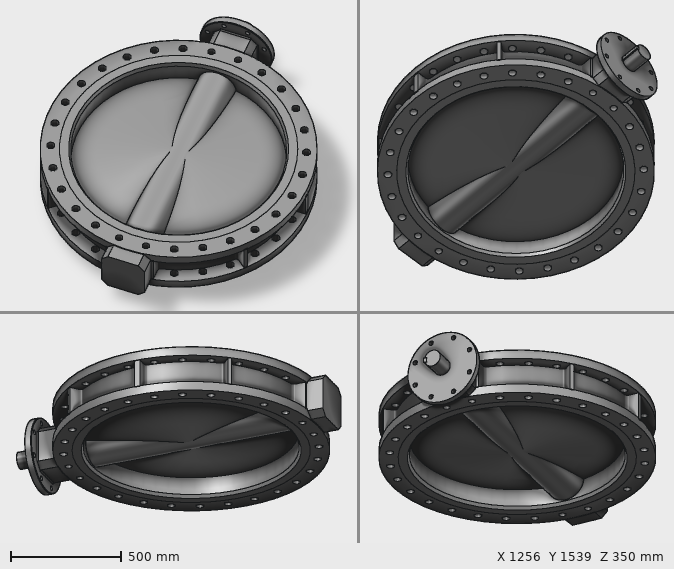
import cadquery as cq
import math


face_to_face = 218.0
flange_radius = 628.0
flange_thickness = 43.0
barrel_radius = 561.0
flange_inner_z = face_to_face / 2 - flange_thickness

bolt_count = 28
bolt_circle_radius = 580.0
bolt_hole_diameter = 35.0
tapped_hole_diameter = 32.0
tapped_hole_depth = 54.0
drill_point_angle = 118

rib_tip_radius = 623.0
side_rib_thickness = 28.0
diagonal_rib_thickness = 18.0
diagonal_rib_angle = 39.5
boss_web_width = 230.0
rib_fillet = 15.0

boss_width = 209.0
boss_corner = 30.0
boss_bottom_y = -694.0
neck_weld_size = 6.0
actuator_flange_radius = 175.0
actuator_flange_top_y = 746.0
actuator_flange_thickness = 32.0
actuator_flange_chamfer = 3.0
actuator_bolt_count = 8
actuator_bolt_circle_radius = 149.0
actuator_bolt_hole_diameter = 22.0

liner_outer_radius = 540.0
liner_mouth_radius = 498.0
liner_bore_radius = 489.0
liner_bevel_depth = 15.0

disc_edge_half_thickness = 9.0
disc_apex_z = 90.0
hub_radius = 92.0
hub_half_length = 483.0

shaft_radius = 40.0
shaft_top_y = 845.0
shaft_bottom_y = -630.0
key_width = 22.0
key_height = 14.0
key_depth = 9.0
key_seat_x = shaft_radius - key_depth


def cylinder_y(radius, y_start, y_end):
    """Cylinder about the Y axis."""
    return cq.Workplane("XZ", origin=(0, y_start, 0)).circle(radius).extrude(y_start - y_end)


def cylinder_z(radius, z_start, z_end):
    """Cylinder about the Z axis."""
    return cq.Workplane("XY", origin=(0, 0, z_start)).circle(radius).extrude(z_end - z_start)


def rib(angle, thickness):
    """Radial rib between the flanges, flared into the barrel by a fillet on each side."""
    half = thickness / 2
    fillet_x = half + rib_fillet
    fillet_y = math.sqrt((barrel_radius + rib_fillet) ** 2 - fillet_x**2)
    blend = barrel_radius / (barrel_radius + rib_fillet)
    foot_x = fillet_x * blend
    foot_y = fillet_y * blend
    toward_foot = math.atan2(foot_y - fillet_y, foot_x - fillet_x)
    middle_angle = (toward_foot - math.pi) / 2
    middle_x = fillet_x + rib_fillet * math.cos(middle_angle)
    middle_y = fillet_y + rib_fillet * math.sin(middle_angle)
    tip_y = math.sqrt(rib_tip_radius**2 - half**2)
    outline = (
        cq.Workplane("XY", origin=(0, 0, -flange_inner_z))
        .moveTo(0, liner_outer_radius)
        .lineTo(-foot_x, liner_outer_radius)
        .lineTo(-foot_x, foot_y)
        .threePointArc((-middle_x, middle_y), (-half, fillet_y))
        .lineTo(-half, tip_y)
        .threePointArc((0, rib_tip_radius), (half, tip_y))
        .lineTo(half, fillet_y)
        .threePointArc((middle_x, middle_y), (foot_x, foot_y))
        .lineTo(foot_x, liner_outer_radius)
        .close()
    )
    return outline.extrude(2 * flange_inner_z).rotate((0, 0, 0), (0, 0, 1), angle - 90)


def add_ribs(body):
    for angle in (0, 180):
        body = body.union(rib(angle, side_rib_thickness))
        for offset in (-diagonal_rib_angle, diagonal_rib_angle):
            body = body.union(rib(angle + offset, diagonal_rib_thickness))
    for angle in (90, 270):
        body = body.union(rib(angle, boss_web_width))
    return body


def shaft_boss():
    """Square bar with chamfered long edges that forms both the lower boss and the neck."""
    length = actuator_flange_top_y - actuator_flange_thickness - boss_bottom_y
    return (
        cq.Workplane("XZ", origin=(0, boss_bottom_y, 0))
        .rect(boss_width, boss_width)
        .extrude(-length)
        .edges("|Y")
        .chamfer(boss_corner)
    )


def neck_welds():
    """Triangular seams where the four flats of the neck meet the actuator flange."""
    flange_y = actuator_flange_top_y - actuator_flange_thickness
    face_z = boss_width / 2
    seam_length = boss_width - 2 * boss_corner
    seam = (
        cq.Workplane("YZ", origin=(-seam_length / 2, 0, 0))
        .moveTo(flange_y, face_z)
        .lineTo(flange_y, face_z + neck_weld_size)
        .lineTo(flange_y - neck_weld_size, face_z)
        .close()
        .extrude(seam_length)
    )
    return [seam.rotate((0, 0, 0), (0, 1, 0), angle) for angle in (0, 90, 180, 270)]


def actuator_flange():
    """Round bolted plate on top of the neck, its lower rim chamfered."""
    bottom_y = actuator_flange_top_y - actuator_flange_thickness
    plate = cylinder_y(actuator_flange_radius, bottom_y, actuator_flange_top_y)
    plate = plate.faces("<Y").edges().chamfer(actuator_flange_chamfer)
    holes = (
        cq.Workplane("XZ", origin=(0, bottom_y, 0))
        .polarArray(actuator_bolt_circle_radius, 180 / actuator_bolt_count, 360, actuator_bolt_count)
        .circle(actuator_bolt_hole_diameter / 2)
        .extrude(-actuator_flange_thickness)
    )
    return plate.cut(holes)


def tapped_hole(x, y):
    """Blind hole with a drill point, sunk from the upper flange face."""
    radius = tapped_hole_diameter / 2
    point_depth = radius / math.tan(math.radians(drill_point_angle / 2))
    profile = [
        (0, 0),
        (radius, 0),
        (radius, -tapped_hole_depth),
        (0, -tapped_hole_depth - point_depth),
    ]
    hole = cq.Workplane("XZ").polyline(profile).close().revolve(360, (0, 0, 0), (0, 1, 0))
    return hole.translate((x, y, face_to_face / 2))


def cut_bolt_holes(body):
    """Through holes all round, except blind ones where the shaft bosses are in the way."""
    for index in range(bolt_count):
        angle = 2 * math.pi * (index + 0.5) / bolt_count
        x = bolt_circle_radius * math.cos(angle)
        y = bolt_circle_radius * math.sin(angle)
        if abs(x) < boss_width / 2:
            upper = tapped_hole(x, y)
            body = body.cut(upper).cut(upper.mirror("XY"))
        else:
            hole = cylinder_z(bolt_hole_diameter / 2, -face_to_face / 2, face_to_face / 2)
            body = body.cut(hole.translate((x, y, 0)))
    return body


def make_housing():
    """Flanged body with ribs, shaft bosses and actuator flange, open for the liner and shaft."""
    body = cylinder_z(barrel_radius, -face_to_face / 2, face_to_face / 2)
    body = body.union(cylinder_z(flange_radius, flange_inner_z, face_to_face / 2))
    body = body.union(cylinder_z(flange_radius, -face_to_face / 2, -flange_inner_z))
    body = add_ribs(body.union(shaft_boss())).union(actuator_flange())
    for seam in neck_welds():
        body = body.union(seam)
    body = body.cut(cylinder_z(liner_outer_radius, -face_to_face / 2, face_to_face / 2))
    body = cut_bolt_holes(body)
    return body.cut(cylinder_y(shaft_radius, shaft_bottom_y, actuator_flange_top_y))


def hub():
    return cylinder_y(hub_radius, -hub_half_length, hub_half_length)


def make_liner():
    """Ring with bevelled mouths, recessed for the hub ends and bored for the shaft."""
    top = face_to_face / 2
    bevel_z = top - liner_bevel_depth
    profile = [
        (liner_outer_radius, -top),
        (liner_outer_radius, top),
        (liner_mouth_radius, top),
        (liner_bore_radius, bevel_z),
        (liner_bore_radius, -bevel_z),
        (liner_mouth_radius, -top),
    ]
    ring = cq.Workplane("XZ").polyline(profile).close().revolve(360, (0, 0, 0), (0, 1, 0))
    return ring.cut(hub()).cut(cylinder_y(shaft_radius, -liner_outer_radius, liner_outer_radius))


def make_disc():
    """Double cone with a cylindrical hub across it, bored for the shaft."""
    profile = [
        (0, -disc_apex_z),
        (liner_bore_radius, -disc_edge_half_thickness),
        (liner_bore_radius, disc_edge_half_thickness),
        (0, disc_apex_z),
    ]
    cones = cq.Workplane("XZ").polyline(profile).close().revolve(360, (0, 0, 0), (0, 1, 0))
    bore = cylinder_y(shaft_radius, -liner_bore_radius, liner_bore_radius)
    return cones.union(hub()).cut(bore)


def make_key():
    """Bar sunk into the +X side of the exposed shaft end."""
    key_length = shaft_top_y - actuator_flange_top_y
    bar = cq.Workplane("XY").box(key_height, key_length, key_width, centered=(False, False, True))
    return bar.translate((key_seat_x, actuator_flange_top_y, 0))


def make_shaft(key):
    """Single shaft through neck, disc and lower boss, with a keyway at its upper end."""
    return cylinder_y(shaft_radius, shaft_bottom_y, shaft_top_y).cut(key)


housing = make_housing()
liner = make_liner()
disc = make_disc()
key = make_key()
shaft = make_shaft(key)

result = cq.Compound.makeCompound([housing.val(), liner.val(), disc.val(), shaft.val(), key.val()])